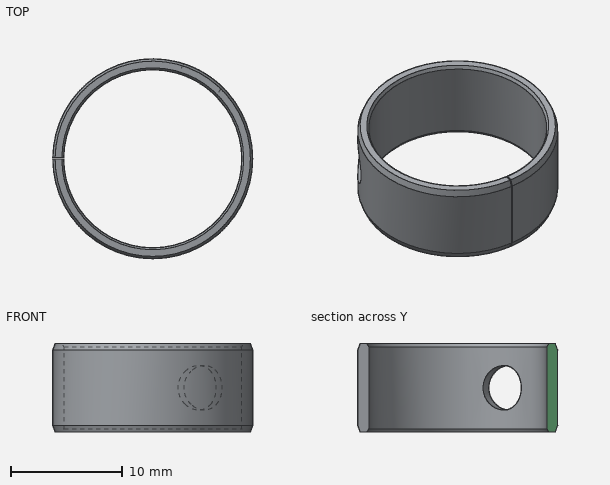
import cadquery as cq
import math

outer_diameter = 18.0
inner_diameter = 16.0
height = 8.0
outer_radius = outer_diameter / 2
inner_radius = inner_diameter / 2

outer_bevel_height = 0.6
outer_bevel_angle = 20.0
outer_bevel_width = outer_bevel_height * math.tan(math.radians(outer_bevel_angle))
inner_bevel_height = 0.3
inner_bevel_width = 0.18

split_width = 0.1

hole_diameter = 4.0
hole_angle = 59.0


def make_ring():
    """Revolve the bevelled wall section around Z."""
    return (
        cq.Workplane("XZ")
        .moveTo(inner_radius + inner_bevel_width, 0)
        .lineTo(outer_radius - outer_bevel_width, 0)
        .lineTo(outer_radius, outer_bevel_height)
        .lineTo(outer_radius, height - outer_bevel_height)
        .lineTo(outer_radius - outer_bevel_width, height)
        .lineTo(inner_radius + inner_bevel_width, height)
        .lineTo(inner_radius, height - inner_bevel_height)
        .lineTo(inner_radius, inner_bevel_height)
        .close()
        .revolve(360, (0, 0, 0), (0, 1, 0))
    )


def make_split():
    """Slab that opens the ring on its -X side."""
    return (
        cq.Workplane("XY")
        .box(outer_radius, split_width, height, centered=False)
        .translate((-outer_radius, 0, 0))
    )


def make_hole():
    """Cylinder running outward from the ring axis at mid height."""
    return (
        cq.Workplane("YZ")
        .center(0, height / 2)
        .circle(hole_diameter / 2)
        .extrude(outer_diameter)
        .rotate((0, 0, 0), (0, 0, 1), hole_angle)
    )


result = make_ring().cut(make_split()).cut(make_hole())